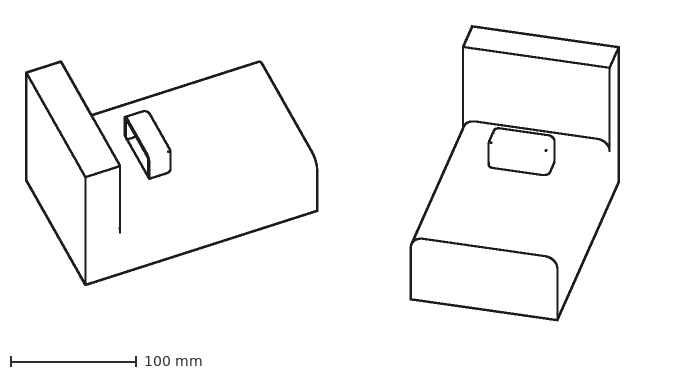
import cadquery as cq

width = 120.0
length = 200.0
height = 130.0

plate_thickness = 30.0
base_height = 60.0
base_edge_radius = 10.0

tab_width = 50.0
tab_thickness = 20.0
tab_height = 25.0
tab_gap = 40.0
tab_start_y = plate_thickness + tab_gap
tab_edge_radius = 5.0

tab_wall = tab_edge_radius / 2
hollow_floor_depth = 3.0


def block(size_x, size_y, size_z, start_y, start_z):
    """Box centred on X that starts at the given Y and Z."""
    return (
        cq.Workplane("XY")
        .box(size_x, size_y, size_z, centered=(True, False, False))
        .translate((0, start_y, start_z))
    )


def make_plate():
    return block(width, plate_thickness, height, 0, 0)


def make_base():
    """Base block behind the plate, with its two long top edges rounded."""
    base = block(width, length - plate_thickness, base_height, plate_thickness, 0)
    return base.faces(">Z").edges("|Y").fillet(base_edge_radius)


def make_tab():
    """Tab rounded on its top and rear edges; the face towards the plate stays sharp."""
    tab = block(tab_width, tab_thickness, tab_height, tab_start_y, base_height)
    return tab.edges("(>Z and (not <Y)) or (|Z and >Y)").fillet(tab_edge_radius)


def make_tab_hollow():
    """Sharp-cornered hollow that leaves an even wall and sinks slightly into the base."""
    hollow_width = tab_width - 2 * tab_wall
    hollow_depth = tab_thickness - tab_wall
    hollow_height = tab_height - tab_wall + hollow_floor_depth
    hollow_floor_z = base_height - hollow_floor_depth
    return block(hollow_width, hollow_depth, hollow_height, tab_start_y, hollow_floor_z)


result = make_plate().union(make_base()).union(make_tab()).cut(make_tab_hollow())